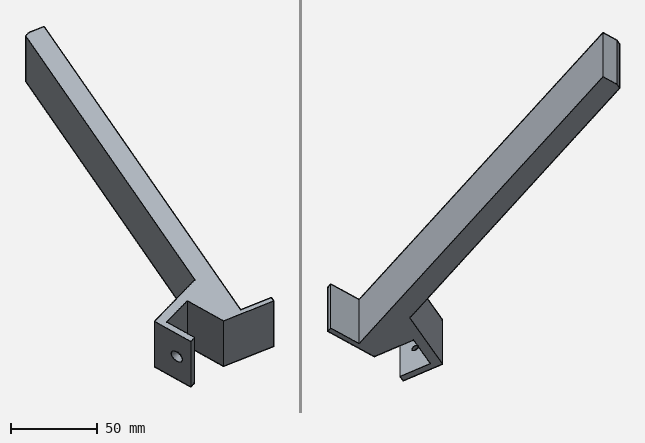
import cadquery as cq
import math

overall_length = 234.5
overall_width = 142.99
height = 40.1

wall_thickness = 6.0
flange_thickness = 3.8
channel_width = 20.0
flange_reach = 26.0

arm_angle = 25.94
arm_thickness = 12.8
arm_start_y = 39.25
lip_offset = 32.4
lip_thickness = 3.0
lip_height = 20.0

hole_outer_diameter = 8.0
hole_inner_diameter = 4.0

cos_arm = math.cos(math.radians(arm_angle))
sin_arm = math.sin(math.radians(arm_angle))


def arm_point(along, across):
    """XY point given along the arm (toward the lip) and across it, from the underside's start."""
    x = along * cos_arm + across * sin_arm
    y = arm_start_y - along * sin_arm + across * cos_arm
    return x, y


def make_profile_body():
    """Clamp, arm and lip as one extruded outline."""
    channel_top = flange_thickness + channel_width
    lip_outer_offset = lip_offset + lip_thickness
    lip_top = arm_thickness + lip_height
    lip_outer_tip = arm_point(lip_outer_offset, lip_top)

    block_end_x = lip_outer_tip[0] - (lip_outer_tip[1] - channel_top) * sin_arm / cos_arm

    arm_end = (arm_start_y + arm_thickness * cos_arm - overall_width) / sin_arm
    cut_x = lip_outer_tip[0] - overall_length
    cut_top = (cut_x - arm_end * cos_arm) / sin_arm
    cut_bottom = cut_x / cos_arm

    outline = [
        (0, 0),
        (flange_reach, 0),
        (flange_reach, flange_thickness),
        (wall_thickness, flange_thickness),
        (wall_thickness, channel_top),
        (block_end_x, channel_top),
        lip_outer_tip,
        arm_point(lip_offset, lip_top),
        arm_point(lip_offset, arm_thickness),
        arm_point(arm_end, arm_thickness),
        arm_point(arm_end, cut_top),
        arm_point(cut_bottom, 0),
        arm_point(0, 0),
    ]
    return cq.Workplane("XY").polyline(outline).close().extrude(height)


def make_screw_hole():
    """Cone through the flange, wide at the outer face, centred on the flange's free length."""
    center_x = (wall_thickness + flange_reach) / 2
    cone = cq.Solid.makeCone(
        hole_outer_diameter / 2,
        hole_inner_diameter / 2,
        flange_thickness,
        pnt=cq.Vector(center_x, 0, height / 2),
        dir=cq.Vector(0, 1, 0),
    )
    return cq.Workplane(obj=cone)


result = make_profile_body().cut(make_screw_hole())